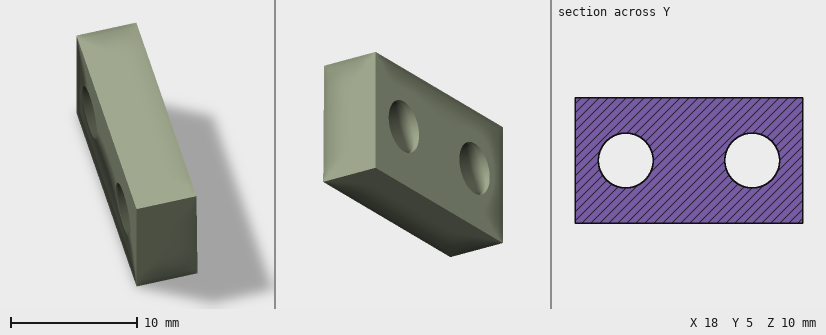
import cadquery as cq
import math

length = 18.0
base_depth = 5.0
height = 10.0

back_draft_angle = 0.5
top_depth = base_depth - height * math.tan(math.radians(back_draft_angle))

hole_diameter = 4.3
hole_spacing = 10.0


def make_block():
    """Extrude the YZ side profile, with its leaning back edge, along X."""
    side_profile = [
        (0, 0),
        (base_depth, 0),
        (top_depth, height),
        (0, height),
    ]
    return cq.Workplane("YZ").polyline(side_profile).close().extrude(length)


def make_hole(centre_x):
    """Cylinder running from the front face through the back face."""
    return (
        cq.Workplane("XZ")
        .center(centre_x, height / 2)
        .circle(hole_diameter / 2)
        .extrude(-base_depth)
    )


result = make_block()
for side in (-1, 1):
    hole_x = length / 2 + side * hole_spacing / 2
    result = result.cut(make_hole(hole_x))